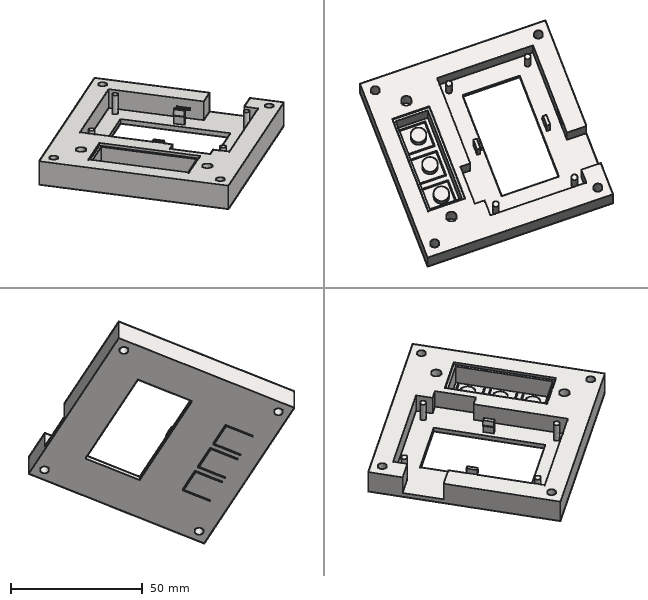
import cadquery as cq

side = 75.0
thickness = 10.0
corner_hole_diameter = 3.4
corner_hole_offset = 33.0

pocket_length = 59.2
pocket_width = 38.8
pocket_y = 10.2
pocket_floor = 2.0
notch_length = 16.0
back_notch_x = 16.05
front_notch_x = 15.15
front_notch_reach = 4.0

window_length = 43.5
window_width = 23.1
window_x = -0.8
window_y = 10.1

pin_diameter = 2.3
pin_offset_x = 26.0
pin_offset_y = 15.9
pin_height = thickness - pocket_floor

clip_length = 4.2
clip_height = 6.0
clip_back_offset = 14.8
clip_front_offset = 13.4
clip_tip_offset = 13.0
clip_tip_height = 3.5

wall_slot_length = 5.4
wall_slot_bottom = 5.4
wall_slot_height = 1.05
wall_slot_depth = 1.2

bay_length = 37.9
bay_width = 13.0
bay_y = -23.3
bay_floor = 0.6
ledge_width = 1.0
ledge_depth = 1.1
side_hole_diameter = 4.0
side_hole_offset = 25.0

button_pitch = 12.7
flap_length = 10.0
flap_back_y = -18.5
slit_width = 0.3
post_diameter = 6.0
post_y = -22.9
post_top = 3.3


def block(length, width, bottom, top, x, y):
    """Upright block centred on (x, y), from the bottom height to the top height."""
    return cq.Workplane("XY", origin=(x, y, bottom)).rect(length, width).extrude(top - bottom)


def cylinders(points, diameter, bottom, height):
    """Equal vertical cylinders at the given points."""
    return cq.Workplane("XY", origin=(0, 0, bottom)).pushPoints(points).circle(diameter / 2).extrude(height)


def four_corners(offset_x, offset_y, y=0):
    """Corners of a rectangle centred on (0, y)."""
    return [(i * offset_x, y + j * offset_y) for i in (-1, 1) for j in (-1, 1)]


def display_opening():
    """Pocket with its two cable notches, the window and the slot in the back wall."""
    pocket = block(pocket_length, pocket_width, pocket_floor, thickness, 0, pocket_y)
    window = block(window_length, window_width, 0, thickness, window_x, window_y)

    back_width = side / 2 - pocket_y
    back_y = pocket_y + back_width / 2
    back_notch = block(notch_length, back_width, pocket_floor, thickness, back_notch_x, back_y)
    front_width = pocket_width / 2 + front_notch_reach
    front_y = pocket_y - front_width / 2
    front_notch = block(notch_length, front_width, pocket_floor, thickness, front_notch_x, front_y)

    wall_y = pocket_y + pocket_width / 2
    wall_slot_top = wall_slot_bottom + wall_slot_height
    wall_slot = block(wall_slot_length, 2 * wall_slot_depth, wall_slot_bottom, wall_slot_top, 0, wall_y)
    return pocket.union(back_notch).union(front_notch).union(window).union(wall_slot)


def clip():
    """Snap clip on the back side of the pocket, its hook pointing at the window."""
    tip_z = pocket_floor + clip_tip_height
    top_z = pocket_floor + clip_height
    profile = [
        (clip_back_offset, pocket_floor),
        (clip_front_offset, pocket_floor),
        (clip_front_offset, tip_z),
        (clip_tip_offset, tip_z),
        (clip_front_offset, top_z),
        (clip_back_offset, top_z),
    ]
    return cq.Workplane("YZ").polyline(profile).close().extrude(clip_length / 2, both=True)


def button_bay():
    """Recess with a ledge around its mouth."""
    bay = block(bay_length, bay_width, bay_floor, thickness, 0, bay_y)
    mouth_length = bay_length + 2 * ledge_width
    mouth_width = bay_width + 2 * ledge_width
    mouth = block(mouth_length, mouth_width, thickness - ledge_depth, thickness, 0, bay_y)
    return bay.union(mouth)


def flap_slit(x):
    """U-shaped slit through the bay floor; the flap stays joined along the front wall."""
    hinge_y = bay_y - bay_width / 2
    flap_width = flap_back_y - hinge_y
    outer_width = flap_width + slit_width
    outer = block(flap_length + 2 * slit_width, outer_width, 0, bay_floor, x, hinge_y + outer_width / 2)
    flap = block(flap_length, flap_width, 0, bay_floor, x, hinge_y + flap_width / 2)
    return outer.cut(flap)


plate = block(side, side, 0, thickness, 0, 0)
corner_holes = four_corners(corner_hole_offset, corner_hole_offset)
plate = plate.cut(cylinders(corner_holes, corner_hole_diameter, 0, thickness))
plate = plate.cut(display_opening())
plate = plate.cut(button_bay())

side_holes = [(-side_hole_offset, bay_y), (side_hole_offset, bay_y)]
plate = plate.cut(cylinders(side_holes, side_hole_diameter, pocket_floor, thickness - pocket_floor))

pins = four_corners(pin_offset_x, pin_offset_y, pocket_y)
plate = plate.union(cylinders(pins, pin_diameter, pocket_floor, pin_height))

back_clip = clip()
for snap in (back_clip, back_clip.mirror("XZ")):
    plate = plate.union(snap.translate((0, pocket_y, 0)))

button_xs = [i * button_pitch for i in (-1, 0, 1)]
for button_x in button_xs:
    plate = plate.cut(flap_slit(button_x))
posts = [(button_x, post_y) for button_x in button_xs]
plate = plate.union(cylinders(posts, post_diameter, bay_floor, post_top - bay_floor))

result = plate